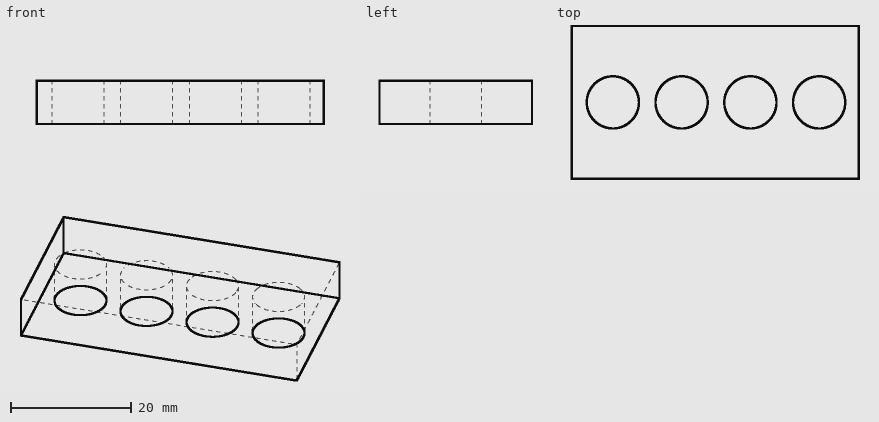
import cadquery as cq

length = 47.75
width = 25.4
thickness = 7.25

hole_diameter = 8.64
hole_count = 4
hole_pitch = 11.43
row_offset_x = 0.125


def make_plate():
    return cq.Workplane("XY").box(length, width, thickness, centered=(True, True, False))


def drill_hole_row(plate):
    first_x = row_offset_x - hole_pitch * (hole_count - 1) / 2
    centres = [(first_x + i * hole_pitch, 0) for i in range(hole_count)]
    cutters = cq.Workplane("XY").pushPoints(centres).circle(hole_diameter / 2).extrude(thickness)
    return plate.cut(cutters)


result = drill_hole_row(make_plate())